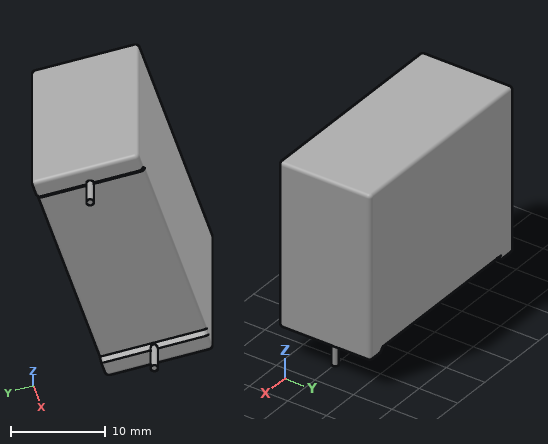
import cadquery as cq


case_length = 26.5
case_width = 12.0
case_height = 21.01
edge_radius = 0.5

recess_depth = 0.5
foot_length = 2.0

lead_diameter = 0.8
lead_drop = 3.5
lead_spacing = case_length - 2 * foot_length
lead_embed = 2 * recess_depth


def make_case():
    """Extrude the case outline along Y, then round all outer edges."""
    half_length = case_length / 2
    foot_end = half_length - foot_length
    recess_end = foot_end - recess_depth

    outline = [
        (-half_length, 0),
        (-foot_end, 0),
        (-recess_end, recess_depth),
        (recess_end, recess_depth),
        (foot_end, 0),
        (half_length, 0),
        (half_length, case_height),
        (-half_length, case_height),
    ]
    case = cq.Workplane("XZ").polyline(outline).close().extrude(case_width / 2, both=True)

    rounded_edges = case.edges("#Y").add(case.edges("|Y and (<X or >X)"))
    return rounded_edges.fillet(edge_radius)


def make_leads():
    """Two round wires on the case centre line, rooted inside the case."""
    return (
        cq.Workplane("XY", origin=(0, 0, -lead_drop))
        .rarray(lead_spacing, 0.26, 2, 1)
        .circle(lead_diameter / 2)
        .extrude(lead_drop + lead_embed)
    )


result = make_case().union(make_leads())